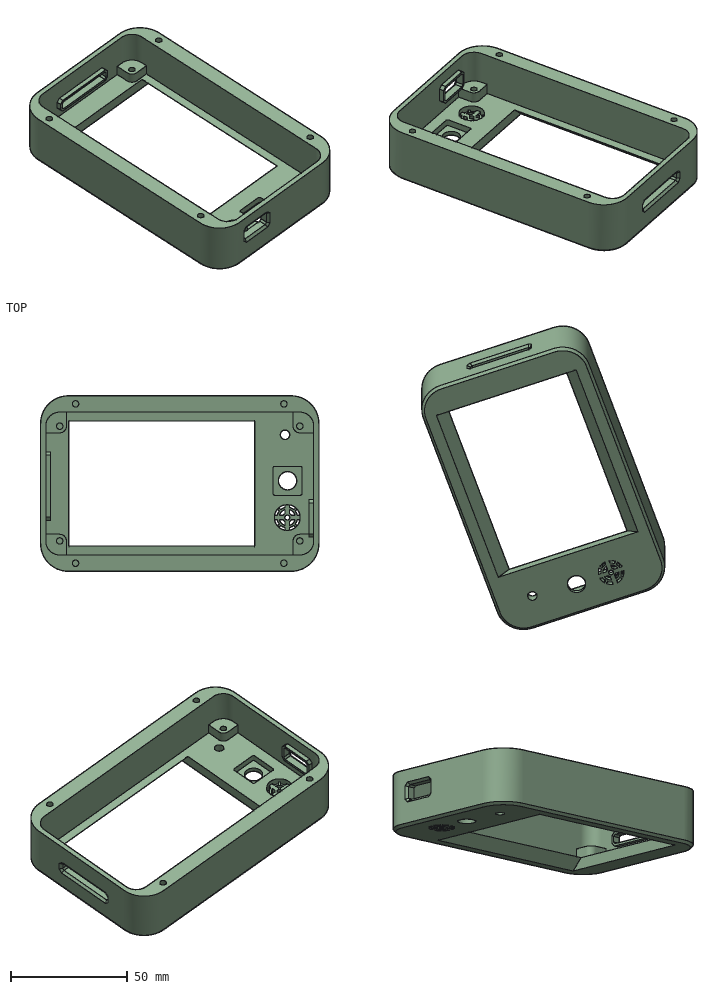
import cadquery as cq
import math

length = 120.0
width = 75.7
height = 25.0
outer_radius = 12.0
bottom_chamfer = 1.2
end_wall = 2.3
side_wall = 7.1
cavity_radius = 6.0
floor = 5.0

window_length = 80.0
window_width = 53.8
window_x = -7.8

screw_diameter = 2.8
rim_screw_x = 44.9
rim_screw_y = 34.3
rim_screw_depth = 12.0

post_x = 51.7
post_y = 24.7
post_radius = 2.9
post_height = 4.8

light_diameter = 4.0
light_x = 45.4
light_y = 21.0
button_x = 46.5
button_y = 1.2
button_diameter = 7.8
button_pocket = 12.5
button_pocket_radius = 0.7
button_pocket_depth = 3.0

grille_x = 46.3
grille_y = -14.6
grille_diameter = 11.0
grille_hole_diameter = 2.0
grille_recess = 2.0
grille_ring = 1.0
grille_ring_inner_radius = 3.5
grille_hub_radius = grille_hole_diameter / 2 + grille_ring
wide_rib = 2.0
narrow_rib = 1.0

collar_wall = 1.1
collar_reach = 2.0
flare_angle = 45
collar_corner = 1.5
card_slot_y = -1.1
card_slot_z = 12.4
card_collar_width = 29.5
card_collar_height = 6.2
port_slot_y = -15.0
port_slot_z = 14.9
port_collar_width = 16.2
port_collar_height = 8.9

cavity_length = length - 2 * end_wall
cavity_width = width - 2 * side_wall
four_corners = [(sx, sy) for sx in (-1, 1) for sy in (-1, 1)]


def rounded_block(block_length, block_width, block_height, radius, base_z):
    """Upright block centred on the Z axis, with its vertical edges rounded."""
    base = cq.Workplane("XY").workplane(offset=base_z)
    block = base.rect(block_length, block_width).extrude(block_height)
    return block.edges("|Z").fillet(radius)


def cylinder(x, y, diameter, base_z, depth):
    return cq.Workplane("XY").workplane(offset=base_z).center(x, y).circle(diameter / 2).extrude(depth)


def cavity():
    return rounded_block(cavity_length, cavity_width, height - floor, cavity_radius, floor)


def tray():
    body = rounded_block(length, width, height, outer_radius, 0)
    body = body.faces("<Z").edges().chamfer(bottom_chamfer)
    return body.cut(cavity())


def corner_posts():
    """Posts that fill the cavity corners, each rounded about its screw hole."""
    block_length = length / 2
    block_width = width / 2
    block = rounded_block(block_length, block_width, post_height, post_radius, floor)
    centre_x = post_x - post_radius + block_length / 2
    centre_y = post_y - post_radius + block_width / 2
    posts = cq.Workplane("XY")
    for sx, sy in four_corners:
        hole = cylinder(sx * post_x, sy * post_y, screw_diameter, floor, post_height)
        posts = posts.add(block.translate((sx * centre_x, sy * centre_y, 0)).cut(hole))
    return posts.combine().intersect(cavity())


def rim_screw_holes():
    points = [(sx * rim_screw_x, sy * rim_screw_y) for sx, sy in four_corners]
    top = cq.Workplane("XY").workplane(offset=height)
    return top.pushPoints(points).circle(screw_diameter / 2).extrude(-rim_screw_depth)


def window():
    top_y = window_width / 2
    bottom_y = top_y + floor
    section = [(-bottom_y, 0), (bottom_y, 0), (top_y, floor), (-top_y, floor)]
    start_x = window_x - window_length / 2
    return cq.Workplane("YZ").workplane(offset=start_x).polyline(section).close().extrude(window_length)


def button_opening():
    pocket = rounded_block(
        button_pocket, button_pocket, button_pocket_depth, button_pocket_radius, floor - button_pocket_depth
    )
    return pocket.translate((button_x, button_y, 0)).union(cylinder(button_x, button_y, button_diameter, 0, floor))


def grille_openings():
    """Round recess in the floor with the openings between the grille ribs below it."""

    def disc(radius):
        return cq.Workplane("XY").circle(radius).extrude(floor)

    def rib(rib_width, angle):
        bar = cq.Workplane("XY").rect(grille_diameter, rib_width).extrude(floor)
        return bar.rotate((0, 0, 0), (0, 0, 1), angle)

    ring = disc(grille_ring_inner_radius + grille_ring).cut(disc(grille_ring_inner_radius))
    bars = ring.union(disc(grille_hub_radius))
    for angle in (0, 90):
        bars = bars.union(rib(wide_rib, angle))
    for angle in (45, 135):
        bars = bars.union(rib(narrow_rib, angle).cut(disc(grille_ring_inner_radius)))
    openings = disc(grille_diameter / 2).cut(bars).union(disc(grille_hole_diameter / 2))
    recess = cylinder(0, 0, grille_diameter, floor - grille_recess, grille_recess)
    return openings.union(recess).translate((grille_x, grille_y, 0))


def cut_corner_prism(section_width, section_height, corner, start, depth, taper=0):
    """Prism along X whose section is a rectangle with its corners cut at 45 degrees."""
    y = section_width / 2
    z = section_height / 2
    points = [
        (y, z - corner), (y - corner, z), (corner - y, z), (-y, z - corner),
        (-y, corner - z), (corner - y, -z), (y - corner, -z), (y, corner - z),
    ]
    return cq.Workplane("YZ").workplane(offset=start).polyline(points).close().extrude(depth, taper=taper)


def add_slot(body, end_angle, y, z, collar_width, collar_height):
    """Collar and slot on the -X end (angle 0) or the +X end (angle 180), flared at the outer face."""
    def place(shape):
        return shape.rotate((0, 0, 0), (0, 0, 1), end_angle).translate((0, y, z))

    outer_x = -length / 2
    depth = end_wall + collar_reach
    slot_corner = collar_corner - collar_wall * (2 - math.sqrt(2))
    collar = cut_corner_prism(collar_width, collar_height, collar_corner, outer_x, depth)
    slot = cut_corner_prism(
        collar_width - 2 * collar_wall, collar_height - 2 * collar_wall, slot_corner, outer_x, depth
    )
    flare = cut_corner_prism(collar_width, collar_height, collar_corner, outer_x, collar_wall, taper=flare_angle)
    return body.union(place(collar)).cut(place(slot.union(flare)))


result = tray().union(corner_posts())
result = result.cut(rim_screw_holes())
result = result.cut(window())
result = result.cut(cylinder(light_x, light_y, light_diameter, 0, floor))
result = result.cut(button_opening())
result = result.cut(grille_openings())
result = add_slot(result, 0, card_slot_y, card_slot_z, card_collar_width, card_collar_height)
result = add_slot(result, 180, port_slot_y, port_slot_z, port_collar_width, port_collar_height)